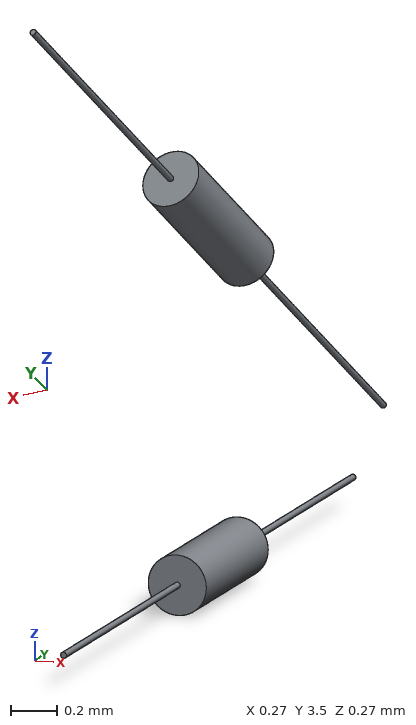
import cadquery as cq

overall_length = 3.5
body_length = 0.75
body_diameter = 0.27
lead_diameter = 0.028


def cylinder_along_y(diameter, length):
    """Cylinder centred on the origin with its axis along Y."""
    return cq.Workplane("XZ", origin=(0, length / 2, 0)).circle(diameter / 2).extrude(length)


body = cylinder_along_y(body_diameter, body_length)
leads = cylinder_along_y(lead_diameter, overall_length)

result = body.union(leads)